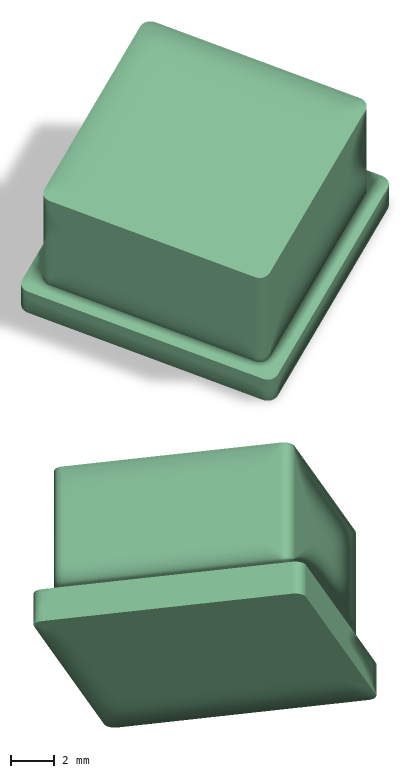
import cadquery as cq

flange_width = 12.95
total_height = 7.94
flange_height = 1.59
ledge_width = 0.76
corner_radius = 0.52

body_width = flange_width - 2 * ledge_width
body_height = total_height - flange_height


def rounded_square_block(width, height, base_z):
    """Square block centred on the Z axis with rounded vertical edges."""
    return (
        cq.Workplane("XY")
        .workplane(offset=base_z)
        .rect(width, width)
        .extrude(height)
        .edges("|Z")
        .fillet(corner_radius)
    )


flange = rounded_square_block(flange_width, flange_height, 0)
body = rounded_square_block(body_width, body_height, flange_height)

result = flange.union(body)